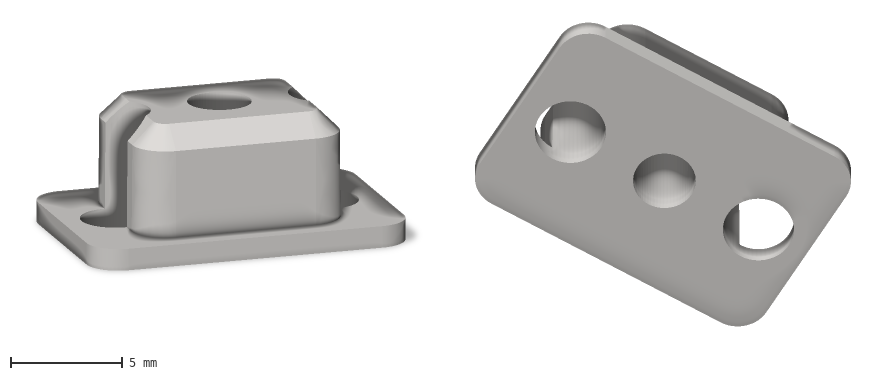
import cadquery as cq
import math

flange_width = 10.0
flange_length = 15.0
flange_thickness = 1.0
flange_corner_radius = 1.5

total_height = 6.03
block_width = 7.77
block_length = 9.8
block_corner_radius = 1.59
block_draft_angle = 0.5
chamfer_size = 1.0
block_shift_y = -0.08

side_hole_diameter = 3.2
side_hole_offset = 4.92
center_hole_top_diameter = 2.91
center_hole_bottom_diameter = 2.82
center_hole_sides = 60


def make_flange():
    return (
        cq.Workplane("XY")
        .box(flange_width, flange_length, flange_thickness, centered=(True, True, False))
        .edges("|Z")
        .fillet(flange_corner_radius)
    )


def make_block():
    """Rounded block with slightly drafted walls and a chamfered top rim."""
    wall_height = total_height - flange_thickness - chamfer_size
    draft_inset = wall_height * math.tan(math.radians(block_draft_angle))
    outline = cq.Sketch().rect(block_width, block_length).vertices().fillet(block_corner_radius)
    rim_outline = (
        cq.Sketch()
        .rect(block_width - 2 * draft_inset, block_length - 2 * draft_inset)
        .vertices()
        .fillet(block_corner_radius - draft_inset)
    )
    walls = (
        cq.Workplane("XY", origin=(0, 0, flange_thickness))
        .placeSketch(outline)
        .extrude(wall_height, taper=block_draft_angle)
    )
    rim = (
        cq.Workplane("XY", origin=(0, 0, flange_thickness + wall_height))
        .placeSketch(rim_outline)
        .extrude(chamfer_size, taper=45)
    )
    return walls.union(rim)


def make_center_hole():
    """Nearly round, many-sided hole that widens slightly towards the top."""
    return (
        cq.Workplane("XY")
        .polygon(center_hole_sides, center_hole_bottom_diameter)
        .workplane(offset=total_height)
        .polygon(center_hole_sides, center_hole_top_diameter)
        .loft(ruled=True)
    )


def make_side_holes():
    return (
        cq.Workplane("XY")
        .pushPoints([(0, -side_hole_offset), (0, side_hole_offset)])
        .circle(side_hole_diameter / 2)
        .extrude(total_height)
    )


upper_offset = cq.Vector(0, block_shift_y, 0)
holes = make_center_hole().union(make_side_holes()).translate(upper_offset)

result = make_flange().union(make_block().translate(upper_offset)).cut(holes)